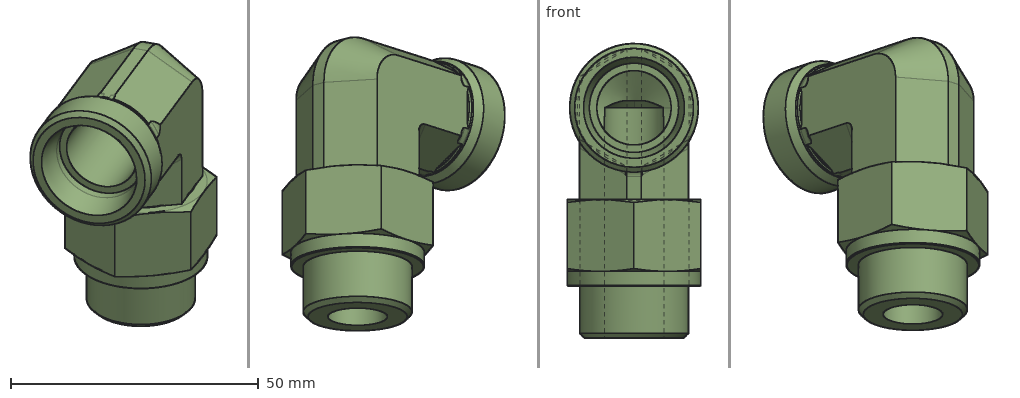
import cadquery as cq
import math

BAR_FLATS = 22.0
BAR_TIPS = 23.66
AXIS_HEIGHT = 46.5
INNER_CORNER_RADIUS = 2.0

NECK_DIAMETER = 23.7
RELIEF_START = 20.0
RELIEF_FILLET = 1.0
NECK_START = 20.9
NECK_CHAMFER = 0.35
NECK_END = 21.8

COLLAR_END = 31.0
COLLAR_DIAMETER = 26.0
COLLAR_CHAMFER = 1.0
COLLAR_CONE_END = 23.55

SEAT_MOUTH_DIAMETER = 20.38
TUBE_DIAMETER = 18.0
TUBE_STOP_DEPTH = 7.5
SEAT_HALF_ANGLE = 12.0
ARM_BORE_DIAMETER = 15.0
SHANK_BORE_DIAMETER = 12.0
DRILL_POINT_HALF_ANGLE = 60.0

SHANK_DIAMETER = 22.0
SHANK_CHAMFER = 1.0

NUT_FLATS = 27.0
NUT_TOP = 28.0
HEX_BOTTOM = 13.5
FLANGE_BOTTOM = 10.5
FLANGE_DIAMETER = 27.0
FLANGE_CHAMFER = 0.2
NUT_TOP_CIRCLE = 26.7
NUT_CHAMFER_ANGLE = 15.0
NUT_BORE_CHAMFER = 0.15

NECK_CHAMFER_END = NECK_START + NECK_CHAMFER
BAR_CORNERS = BAR_FLATS / math.cos(math.radians(30))
NUT_CORNERS = NUT_FLATS / math.cos(math.radians(30))
BAR_TIP_HALF_WIDTH = (BAR_CORNERS - BAR_TIPS) / 2 * math.tan(math.radians(60))


def half_bar_points():
    """Half of the bar's outline: a hexagon with X faces whose tip is cut flat."""
    side = BAR_FLATS / 2
    corner = BAR_CORNERS / 4
    tip = BAR_TIPS / 2
    return [
        (side, corner),
        (BAR_TIP_HALF_WIDTH, tip),
        (-BAR_TIP_HALF_WIDTH, tip),
        (-side, corner),
    ]


def straight_bar(plane, length):
    """A straight length of the bar, starting from the given plane."""
    half = half_bar_points()
    other_half = [(-x, -y) for x, y in half]
    return plane.polyline(half + other_half).close().extrude(length)


def outer_bend():
    """Quarter turn of half the bar about the X line through the point where the axes meet."""
    side = BAR_FLATS / 2
    outline = [(side, 0), *half_bar_points(), (-side, 0)]
    plane = cq.Workplane("XY", origin=(0, 0, AXIS_HEIGHT))
    return plane.polyline(outline).close().revolve(90, (0, 0), (1, 0))


def is_inner_corner(edge):
    """True for the mitred edges where the two arms meet below the horizontal arm."""
    ends = (edge.startPoint(), edge.endPoint())
    return all(p.y < 0 and math.isclose(p.y, p.z - AXIS_HEIGHT, abs_tol=1e-4) for p in ends)


def elbow_bar():
    """Both arms of the bar, joined by a round outer bend and a filleted inner corner."""
    upright = straight_bar(cq.Workplane("XY", origin=(0, 0, NUT_TOP)), AXIS_HEIGHT - NUT_TOP)
    arm = straight_bar(cq.Workplane("XZ", origin=(0, 0, AXIS_HEIGHT)), NECK_CHAMFER_END)
    bar = upright.union(arm).union(outer_bend())
    inner_corner = [edge for edge in bar.edges().vals() if is_inner_corner(edge)]
    return bar.newObject(inner_corner).fillet(INNER_CORNER_RADIUS)


def arm_profile(radius, y):
    """Start a half section of a shape turned about the horizontal arm's axis."""
    return cq.Workplane("XY", origin=(0, 0, AXIS_HEIGHT)).moveTo(radius, y)


def turn_about_arm(profile):
    """Close a half section and turn it about the horizontal arm's axis."""
    return profile.close().revolve(360, (0, 0), (0, 1))


def relief_cutter():
    """Ring that turns the bar's edges down next to the collar, with a rounded run-out."""
    root = NECK_DIAMETER / 2
    outside = root + RELIEF_FILLET
    fillet_start = -RELIEF_START
    fillet_end = fillet_start + RELIEF_FILLET
    fillet_middle = RELIEF_FILLET * math.sqrt(0.5)
    return turn_about_arm(
        arm_profile(root, -NECK_CHAMFER_END)
        .lineTo(root, fillet_start)
        .threePointArc((outside - fillet_middle, fillet_start + fillet_middle), (outside, fillet_end))
        .lineTo(outside, -NECK_CHAMFER_END)
    )


def collar():
    """Round threaded end with a chamfered face and a conical back behind a short neck."""
    radius = COLLAR_DIAMETER / 2
    neck = NECK_DIAMETER / 2
    return turn_about_arm(
        arm_profile(0, -NECK_START)
        .lineTo(neck - NECK_CHAMFER, -NECK_START)
        .lineTo(neck, -NECK_CHAMFER_END)
        .lineTo(neck, -NECK_END)
        .lineTo(radius, -COLLAR_CONE_END)
        .lineTo(radius, -COLLAR_END + COLLAR_CHAMFER)
        .lineTo(radius - COLLAR_CHAMFER, -COLLAR_END)
        .lineTo(0, -COLLAR_END)
    )


def drill_point_length(diameter):
    """Length of the conical point left by a drill."""
    return diameter / 2 / math.tan(math.radians(DRILL_POINT_HALF_ANGLE))


def arm_bore():
    """Tapered tube seat, tube stop and drilled bore whose point starts at the vertical axis."""
    mouth = SEAT_MOUTH_DIAMETER / 2
    tube = TUBE_DIAMETER / 2
    bore = ARM_BORE_DIAMETER / 2
    taper_length = (mouth - tube) / math.tan(math.radians(SEAT_HALF_ANGLE))
    tube_stop = -COLLAR_END + TUBE_STOP_DEPTH
    return turn_about_arm(
        arm_profile(0, -COLLAR_END)
        .lineTo(mouth, -COLLAR_END)
        .lineTo(tube, -COLLAR_END + taper_length)
        .lineTo(tube, tube_stop)
        .lineTo(bore, tube_stop)
        .lineTo(bore, 0)
        .lineTo(0, drill_point_length(ARM_BORE_DIAMETER))
    )


def shank():
    """Round shank below the bar, chamfered at its lower end."""
    return (
        cq.Workplane("XY")
        .circle(SHANK_DIAMETER / 2)
        .extrude(NUT_TOP)
        .faces("<Z")
        .chamfer(SHANK_CHAMFER)
    )


def shank_bore():
    """Bore drilled up from the bottom whose point starts at the horizontal arm's axis."""
    radius = SHANK_BORE_DIAMETER / 2
    return (
        cq.Workplane("YZ")
        .lineTo(radius, 0)
        .lineTo(radius, AXIS_HEIGHT)
        .lineTo(0, AXIS_HEIGHT + drill_point_length(SHANK_BORE_DIAMETER))
        .close()
        .revolve(360, (0, 0), (0, 1))
    )


def make_elbow():
    """Elbow whose bar rests on the nut's top face and whose shank fills the nut's bore."""
    outside = elbow_bar().cut(relief_cutter()).union(collar()).union(shank())
    return outside.cut(arm_bore()).cut(shank_bore())


def nut_envelope():
    """Turned outline of the nut: chamfered hexagon corners and the flange below them."""
    corner = NUT_CORNERS / 2
    top_circle = NUT_TOP_CIRCLE / 2
    flange = FLANGE_DIAMETER / 2
    slope = math.tan(math.radians(NUT_CHAMFER_ANGLE))
    return (
        cq.Workplane("XZ")
        .moveTo(0, FLANGE_BOTTOM)
        .lineTo(flange - FLANGE_CHAMFER, FLANGE_BOTTOM)
        .lineTo(flange, FLANGE_BOTTOM + FLANGE_CHAMFER)
        .lineTo(flange, HEX_BOTTOM)
        .lineTo(corner, HEX_BOTTOM + (corner - flange) * slope)
        .lineTo(corner, NUT_TOP - (corner - top_circle) * slope)
        .lineTo(top_circle, NUT_TOP)
        .lineTo(0, NUT_TOP)
        .close()
        .revolve(360, (0, 0), (0, 1))
    )


def make_nut():
    """Hexagon nut with X faces, its flange and the bore that fits the shank."""
    hexagon = (
        cq.Workplane("XY", origin=(0, 0, FLANGE_BOTTOM))
        .polygon(6, NUT_CORNERS)
        .extrude(NUT_TOP - FLANGE_BOTTOM)
        .rotate((0, 0, 0), (0, 0, 1), 30)
    )
    bore = (
        cq.Workplane("XY", origin=(0, 0, NUT_TOP))
        .circle(SHANK_DIAMETER / 2)
        .extrude(FLANGE_BOTTOM - NUT_TOP)
    )
    entry = (
        cq.Workplane("XY", origin=(0, 0, NUT_TOP))
        .circle(SHANK_DIAMETER / 2 + NUT_BORE_CHAMFER)
        .extrude(-NUT_BORE_CHAMFER, taper=45)
    )
    return hexagon.intersect(nut_envelope()).cut(bore).cut(entry)


elbow = make_elbow()
nut = make_nut()
result = cq.Compound.makeCompound([elbow.solids().val(), nut.solids().val()])